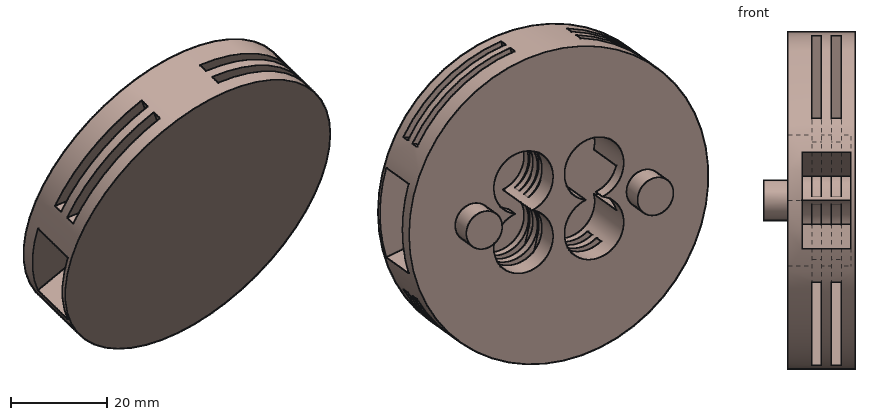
import cadquery as cq
import math

disc_radius = 35.0
disc_thickness = 14.0
front_wall = 3.0
back_wall = 1.0
cavity_depth = disc_thickness - front_wall - back_wall

pin_radius = 4.2
pin_length = 5.0
pin_offset = 20.0

bore_radius = 6.9
bore_y = 8.25
bore_z = 6.65

window_rim_half_height = 10.0
window_bore_half_height = 5.0
window_bore_y = bore_y + math.sqrt(bore_radius**2 - (bore_z - window_bore_half_height) ** 2)
window_rim_y = math.sqrt(disc_radius**2 - window_rim_half_height**2)
window_slope = (window_rim_half_height - window_bore_half_height) / (window_rim_y - window_bore_y)

slot_width = 2.0
slot_starts = (5.0, 9.0)
slot_inner_y = 7.7
slot_outer_y = 12.45
slot_rim_z = 17.0
slot_rim_y = math.sqrt(disc_radius**2 - slot_rim_z**2)
slot_bore_z = bore_z + math.sqrt(bore_radius**2 - (slot_outer_y - bore_y) ** 2)
slot_slope = (slot_rim_z - slot_bore_z) / (slot_rim_y - slot_outer_y)

groove_shift_y = -0.35
groove_shift_z = 0.2

groove_y = bore_y + groove_shift_y
groove_z = bore_z + groove_shift_z
slot_rim_top_z = math.sqrt(disc_radius**2 - slot_inner_y**2)
tangent_distance = math.hypot(groove_y - slot_inner_y, groove_z - slot_rim_top_z)
tangent_angle = math.asin(bore_radius / tangent_distance)
wall_lean = tangent_angle - math.atan2(groove_y - slot_inner_y, slot_rim_top_z - groove_z)
tangent_y = groove_y - bore_radius * math.cos(wall_lean)
tangent_z = groove_z + bore_radius * math.sin(wall_lean)

reach = disc_radius + 7.0
signs = (-1, 1)


def plane_at(x):
    """Sketch plane normal to X, with local axes along Y and Z."""
    return cq.Workplane("YZ", origin=(x, 0, 0))


def make_window(side):
    """Tapered opening from the bores to the rim."""
    inner_half = window_bore_half_height + window_slope * (bore_y - window_bore_y)
    outer_half = window_rim_half_height + window_slope * (reach - window_rim_y)
    outline = [
        (side * bore_y, -inner_half),
        (side * reach, -outer_half),
        (side * reach, outer_half),
        (side * bore_y, inner_half),
    ]
    return plane_at(front_wall).polyline(outline).close().extrude(cavity_depth)


def make_slot(start, side, level):
    """Fan-shaped vent and the groove it leaves in the bore wall."""
    outline = [
        (groove_y, groove_z),
        (slot_outer_y, groove_z),
        (slot_outer_y, slot_bore_z),
        (reach, slot_bore_z + slot_slope * (reach - slot_outer_y)),
        (reach, reach),
        (tangent_y + (reach - tangent_z) * math.tan(wall_lean), reach),
        (tangent_y, tangent_z),
    ]
    points = [(side * y, level * z) for y, z in outline]
    vent = plane_at(start).polyline(points).close().extrude(slot_width)
    groove_center = (side * groove_y, level * groove_z)
    groove = plane_at(start).center(*groove_center).circle(bore_radius).extrude(slot_width)
    return vent.union(groove)


result = plane_at(0).circle(disc_radius).extrude(disc_thickness)

pins = plane_at(0).pushPoints([(side * pin_offset, 0) for side in signs])
result = result.union(pins.circle(pin_radius).extrude(-pin_length))

bore_centers = [(side * bore_y, level * bore_z) for side in signs for level in signs]
for center in bore_centers:
    bore = plane_at(0).center(*center).circle(bore_radius).extrude(front_wall + cavity_depth)
    result = result.cut(bore)

for side in signs:
    result = result.cut(make_window(side))
    for level in signs:
        for start in slot_starts:
            result = result.cut(make_slot(start, side, level))